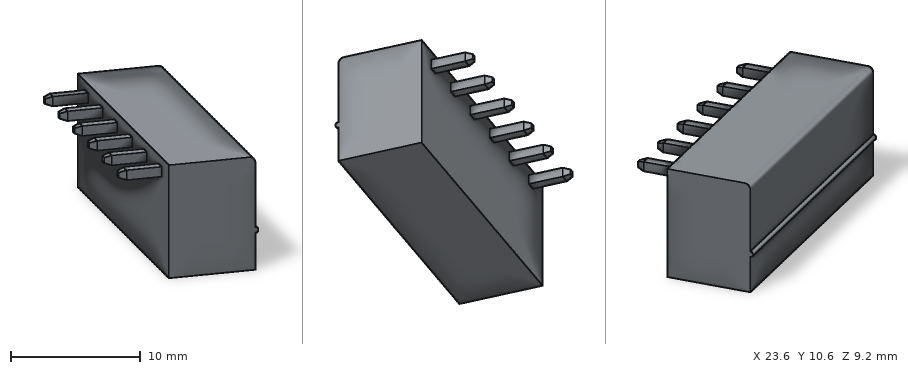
import cadquery as cq

length = 23.65
depth = 7.0
height = 9.2
edge_radius = 0.5

rib_radius = 0.24
rib_axis_height = 3.25

pin_count = 6
pin_pitch = 3.8
pin_width = 0.8
pin_tip_width = 0.43
pin_length = 3.4
pin_taper_length = 0.57
pin_drop = 1.14

front_y = -depth / 2
rear_y = depth / 2


def make_housing():
    """Block with its base at Z = 0 and its upper rear edge rounded."""
    block = cq.Workplane("XY").box(length, depth, height, centered=(True, True, False))
    return block.edges(">Y and >Z").fillet(edge_radius)


def make_rib():
    """Full-length half-round rib."""
    return (
        cq.Workplane("YZ")
        .moveTo(rear_y, rib_axis_height - rib_radius)
        .threePointArc((rear_y + rib_radius, rib_axis_height), (rear_y, rib_axis_height + rib_radius))
        .close()
        .extrude(length / 2, both=True)
    )


def make_pin(x):
    """Square pin pointing toward -Y, with a tapered square tip."""
    shank_length = pin_length - pin_taper_length
    root = cq.Workplane("XZ", origin=(x, front_y, height - pin_drop))
    shank = root.rect(pin_width, pin_width).extrude(shank_length)
    tip = (
        root.workplane(offset=shank_length)
        .rect(pin_width, pin_width)
        .workplane(offset=pin_taper_length)
        .rect(pin_tip_width, pin_tip_width)
        .loft(ruled=True)
    )
    return shank.union(tip)


result = make_housing().union(make_rib())
for index in range(pin_count):
    pin_x = (index - (pin_count - 1) / 2) * pin_pitch
    result = result.union(make_pin(pin_x))